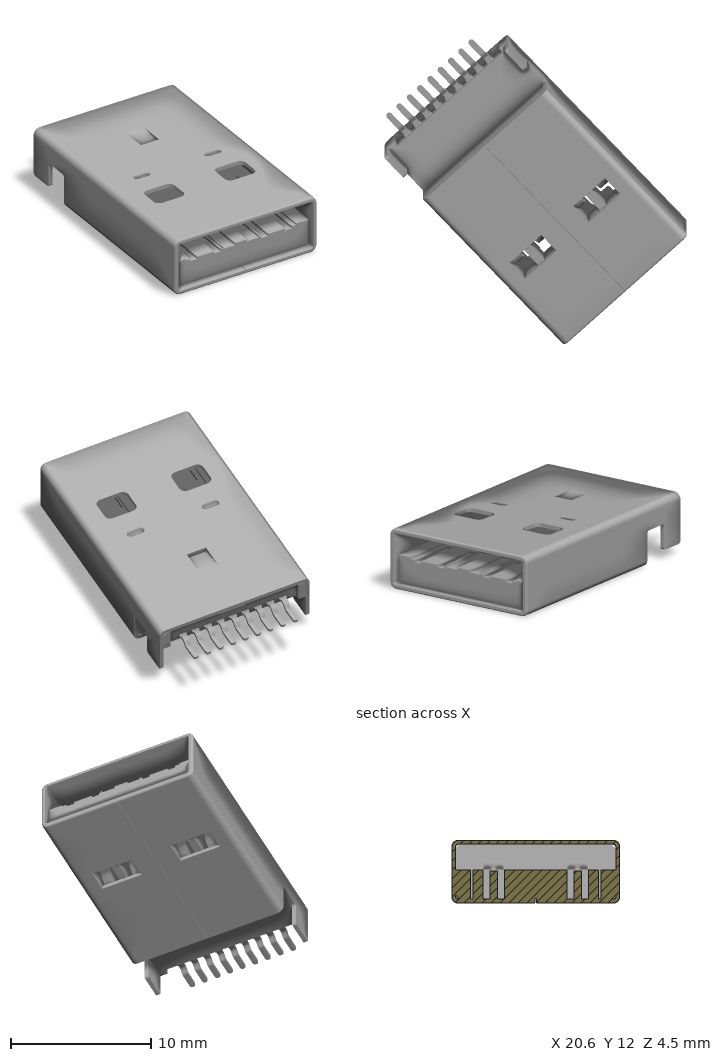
import cadquery as cq
import math


overall_length = 20.65
shell_length = 18.8
shell_width = 12.0
shell_height = 4.5
wall = 0.3
outer_radius = 0.5
inner_radius = outer_radius - wall
front_edge_radius = 0.15
seam_width = 0.05

floor_start = 4.03
leg_length = 2.0
leg_bottom = 0.7
notch_top = 2.66
leg_corner_radius = 0.19

window_length = 2.05
window_width = 2.5
window_radius = 0.45
window_center_x = 12.64
window_center_y = 3.0
bottom_window_length = 1.61
dimple_center_x = 9.65
dimple_width = 0.55
dimple_length = 1.36
dimple_depth = 0.17
dimple_taper = 30

lance_start = 3.96
lance_length = 2.05
lance_width = 1.53
lance_bend = 0.23
lance_drop = 0.3
lance_end_gap = 0.06

cavity_width = shell_width - 2 * wall
cavity_top = shell_height - wall
base_setback = 0.05
body_clearance = 0.02
housing_chamfer = 0.25
body_front = 7.02
body_bottom = 2.68
tongue_front = 18.17
tongue_top = 2.37
rear_recess_width = 10.25
rear_recess_depth = 0.4
lance_pocket_width = 2.05
lance_pocket_bottom = 3.65
lance_pocket_end = 6.4

opening_start = 10.32
opening_center_y = 3.1
opening_width = 3.1
opening_end = window_center_x - window_length / 2 + bottom_window_length
step_depth = 0.12
stop_width = 0.75
stop_gap = 1.49
stop_end = 12.22

pin_count = 9
pin_row_span = 8.0
pin_pitch = pin_row_span / (pin_count - 1)
pin_positions = [i * pin_pitch - pin_row_span / 2 for i in range(pin_count)]
pin_width = 0.41
pin_overhang = overall_length - shell_length
contact_width = 0.58
contact_thickness = 0.2
contact_bottom = 2.91
pin_bottom = 2.58
pin_bend_start = -0.47
pin_bend_end = -0.15
pin_shoulder = 0.17
pin_tip_radius = 0.19
bend_radius = 0.12
strip_top = tongue_top - step_depth / 2
outer_pad_y = 3.53
inner_pad_y = pin_pitch
pad_width = 1.0
pad_start = 12.65
pad_arc_start = 12.75
pad_outer_radius = 0.17
pad_inner_radius = 0.3
pad_end = 13.94
contact_groove_start = 14.2
groove_positions = [i * pin_pitch for i in (-4, -2, 2, 4)]
groove_depth = 0.17

pick_margin = 0.02


def block(x0, x1, y_center, width, z0, z1):
    """Box from x0 to x1 and z0 to z1, centred on y_center."""
    return (
        cq.Workplane("XY")
        .box(x1 - x0, width, z1 - z0, centered=(False, True, False))
        .translate((x0, y_center, z0))
    )


def make_shell():
    """Bent sheet sleeve with legs, notches and a seam."""
    outer = block(0, shell_length, 0, shell_width, 0, shell_height)
    outer = outer.edges("|X").fillet(outer_radius)
    outer = outer.faces(">X").edges().fillet(front_edge_radius)
    cavity = block(0, shell_length, 0, cavity_width, wall, cavity_top)
    shell = outer.cut(cavity.edges("|X").fillet(inner_radius))

    below_leg = block(0, floor_start, 0, shell_width, 0, leg_bottom)
    notch = block(leg_length, floor_start, 0, shell_width, 0, notch_top)
    notch = notch.faces(">Z").edges("|Y").fillet(leg_corner_radius)
    shell = shell.cut(below_leg).cut(notch)
    leg_corners = cq.selectors.BoxSelector(
        (-pick_margin, -shell_width, leg_bottom - pick_margin),
        (leg_length + pick_margin, shell_width, leg_bottom + pick_margin),
    )
    shell = shell.edges("|Y").edges(leg_corners).fillet(leg_corner_radius)
    return shell.cut(block(floor_start, shell_length, 0, seam_width, 0, wall))


def cut_windows_and_dimples(shell):
    """Latch windows in top and floor, and dimples pressed into the top."""
    window_start = window_center_x - window_length / 2
    for side in (-1, 1):
        y = side * window_center_y
        top_window = block(
            window_start, window_start + window_length, y, window_width, cavity_top, shell_height
        )
        bottom_window = block(
            window_start, opening_end, side * opening_center_y, opening_width, 0, wall
        )
        dimple = (
            cq.Workplane("XY")
            .workplane(offset=shell_height)
            .center(dimple_center_x, y)
            .slot2D(dimple_length, dimple_width, 90)
            .extrude(-dimple_depth, taper=dimple_taper)
        )
        shell = shell.cut(top_window.edges("|Z").fillet(window_radius))
        shell = shell.cut(bottom_window).cut(dimple)
    return shell


def make_lance():
    """Tongue of sheet bent down, hinged at its rear end."""
    tip = lance_start + lance_length - lance_end_gap
    slope = math.atan2(lance_drop, tip - lance_start - lance_bend / 2)
    top_radius = lance_bend / math.sin(slope)

    def bend_point(radius, angle):
        """Point on the bend, which is centred below the lance start."""
        bend_center_z = shell_height - top_radius
        return (
            lance_start + radius * math.sin(angle),
            bend_center_z + radius * math.cos(angle),
        )

    bottom_radius = top_radius - wall
    outline = (
        cq.Workplane("XZ")
        .moveTo(lance_start, shell_height)
        .threePointArc(bend_point(top_radius, slope / 2), bend_point(top_radius, slope))
        .lineTo(tip, shell_height - lance_drop)
        .lineTo(tip, cavity_top - lance_drop)
        .lineTo(*bend_point(bottom_radius, slope))
        .threePointArc(bend_point(bottom_radius, slope / 2), (lance_start, cavity_top))
        .close()
    )
    return outline.extrude(lance_width / 2, both=True)


def make_stop(y):
    """Round-nosed finger reaching forward into a tongue opening."""
    middle = (wall + tongue_top) / 2
    nose_start = stop_end - (tongue_top - wall) / 2
    outline = (
        cq.Workplane("XZ")
        .moveTo(opening_start, wall)
        .lineTo(nose_start, wall)
        .threePointArc((stop_end, middle), (nose_start, tongue_top))
        .lineTo(opening_start, tongue_top)
        .close()
    )
    return outline.extrude(stop_width / 2, both=True).translate((0, y, 0))


def make_housing():
    """Rear body, and a tongue pierced below the windows."""
    floor_rear = floor_start + base_setback
    body_top = cavity_top - body_clearance
    body = block(0, body_front, 0, cavity_width, body_bottom, body_top)
    body = body.edges("|X and >Z").chamfer(housing_chamfer)
    base = block(floor_rear, body_front, 0, cavity_width, wall, body_bottom)
    base = base.edges("|X and <Z").chamfer(housing_chamfer)
    tongue = block(floor_rear, tongue_front, 0, cavity_width, wall, tongue_top)
    tongue = tongue.edges("|X and <Z").chamfer(housing_chamfer)
    housing = body.union(base).union(tongue)

    recess = block(0, rear_recess_depth, 0, rear_recess_width, body_bottom, cavity_top)
    pocket = block(
        0, lance_pocket_end, 0, lance_pocket_width, lance_pocket_bottom, cavity_top
    )
    housing = housing.cut(recess).cut(pocket)

    step_floor = tongue_top - step_depth
    rib_top = strip_top - contact_thickness
    for side in (-1, 1):
        y = side * window_center_y
        opening_y = side * opening_center_y
        opening = block(opening_start, opening_end, opening_y, opening_width, wall, tongue_top)
        step = block(opening_start, tongue_front, opening_y, opening_width, step_floor, tongue_top)
        rib = block(opening_start, opening_end, y, contact_width, wall, rib_top)
        housing = housing.cut(opening).cut(step).union(rib)
        pad_groove = block(
            pad_end,
            tongue_front,
            side * inner_pad_y,
            pad_width,
            tongue_top - groove_depth,
            tongue_top,
        )
        housing = housing.cut(pad_groove)
        for edge in (-1, 1):
            housing = housing.union(make_stop(y + edge * (stop_gap + stop_width) / 2))
    for y in groove_positions:
        groove = block(
            contact_groove_start,
            tongue_front,
            y,
            contact_width,
            step_floor - groove_depth,
            tongue_top,
        )
        housing = housing.cut(groove)
    return housing


def make_pin(y):
    """Cranked solder tail with a wider shoulder entering the housing."""
    tail_end = -pin_overhang
    rise = contact_bottom - pin_bottom
    angle = math.atan2(rise, pin_bend_end - pin_bend_start)
    shift = contact_thickness * math.tan(angle / 2)
    outline = [
        (tail_end, pin_bottom),
        (pin_bend_start, pin_bottom),
        (pin_bend_end, contact_bottom),
        (body_front, contact_bottom),
        (body_front, contact_bottom + contact_thickness),
        (pin_bend_end - shift, contact_bottom + contact_thickness),
        (pin_bend_start - shift, pin_bottom + contact_thickness),
        (tail_end, pin_bottom + contact_thickness),
    ]
    tail = cq.Workplane("XZ").polyline(outline).close().extrude(pin_width / 2, both=True)
    inner_corners = (outline[2], outline[6])
    outer_corners = (outline[1], outline[5])
    for corners, radius in (
        (inner_corners, bend_radius),
        (outer_corners, bend_radius + contact_thickness),
    ):
        for x, z in corners:
            nearest = cq.selectors.NearestToPointSelector((x, 0, z))
            tail = tail.edges("|Y").edges(nearest).fillet(radius)
    tail = tail.edges("|Z and <X").fillet(pin_tip_radius)
    shoulder = block(
        pin_shoulder,
        body_front,
        0,
        contact_width,
        contact_bottom,
        contact_bottom + contact_thickness,
    )
    return tail.union(shoulder).translate((0, y, 0))


def make_contact(side):
    """Flat contact on the tongue that steps outward to a wider pad."""
    strip_inner = window_center_y - contact_width / 2
    strip_outer = window_center_y + contact_width / 2
    pad_inner = outer_pad_y - pad_width / 2
    pad_outer = outer_pad_y + pad_width / 2
    arc_end = pad_arc_start + pad_inner_radius
    contact = (
        cq.Workplane("XY")
        .workplane(offset=strip_top - contact_thickness)
        .moveTo(body_front, strip_inner)
        .lineTo(pad_arc_start, strip_inner)
        .radiusArc((arc_end, pad_inner), pad_inner_radius)
        .lineTo(pad_end, pad_inner)
        .lineTo(pad_end, pad_outer)
        .lineTo(pad_start, pad_outer)
        .lineTo(pad_start, strip_outer)
        .lineTo(body_front, strip_outer)
        .close()
        .extrude(contact_thickness)
    )
    jog = cq.selectors.BoxSelector(
        (pad_start - pick_margin, strip_outer - pick_margin, 0),
        (pad_start + pick_margin, pad_outer + pick_margin, shell_height),
    )
    contact = contact.edges("|Z").edges(jog).fillet(pad_outer_radius)
    return contact if side > 0 else contact.mirror("XZ")


lance_window = block(
    lance_start, lance_start + lance_length, 0, lance_width, cavity_top, shell_height
)
shell = cut_windows_and_dimples(make_shell()).cut(lance_window)
result = shell.union(make_lance()).union(make_housing())
for pin_y in pin_positions:
    result = result.union(make_pin(pin_y))
for side in (-1, 1):
    result = result.union(make_contact(side))